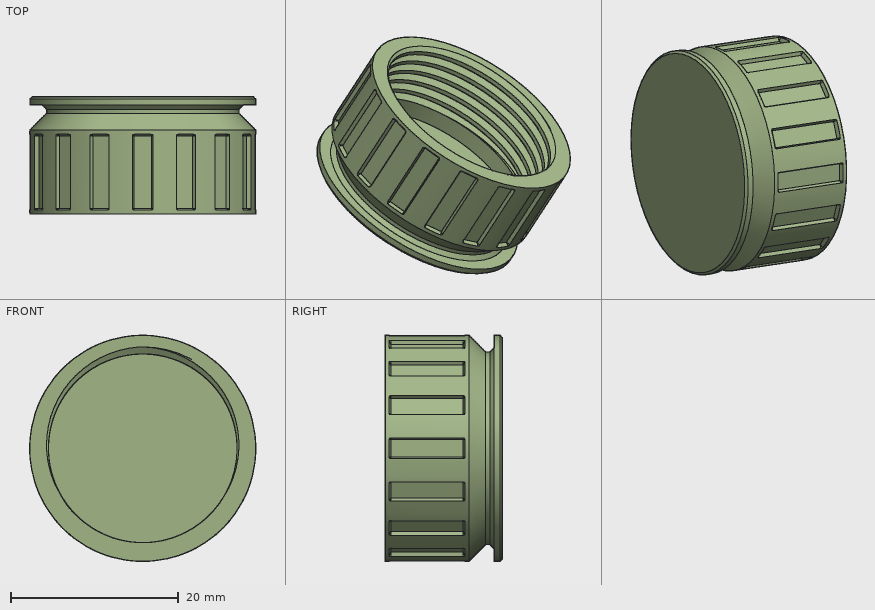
import cadquery as cq
import math


outer_radius = 13.5
total_length = 14.0
grip_length = 10.02
neck_radius = 11.5
flange_thickness = 1.0
flange_chamfer = 0.3
flange_cone_size = 0.5

bore_radius = 11.25
bore_depth = 10.02
thread_root_diameter = 24.22
thread_root_radius = thread_root_diameter / 2
thread_length = 8.0
groove_width = 1.0
crest_width = groove_width / 2
thread_pitch = groove_width + crest_width
groove_overlap = 0.14
lead_in_turns = 2
run_out_turns = 1

pocket_count = 16
pocket_depth = 0.5
pocket_floor_width = 2.08
pocket_floor_length = 8.65
pocket_draft_angle = 22.0


def make_body():
    """Turned outside: grip, 45 degree shoulder, neck and chamfered flange."""
    shoulder_height = outer_radius - neck_radius
    flange_start = total_length - flange_thickness
    return (
        cq.Workplane("XZ")
        .moveTo(0, 0)
        .lineTo(outer_radius, 0)
        .lineTo(outer_radius, grip_length)
        .lineTo(neck_radius, grip_length + shoulder_height)
        .lineTo(neck_radius, flange_start - flange_cone_size)
        .lineTo(neck_radius + flange_cone_size, flange_start)
        .lineTo(outer_radius, flange_start)
        .lineTo(outer_radius, total_length - flange_chamfer)
        .lineTo(outer_radius - flange_chamfer, total_length)
        .lineTo(0, total_length)
        .close()
        .revolve(360, (0, 0), (0, 1))
    )


def make_bore():
    return cq.Workplane("XY").circle(bore_radius).extrude(bore_depth)


def make_thread_groove():
    """Right-hand V groove, cut off flat at the mouth and at the end of the thread."""
    groove_depth = thread_root_radius - bore_radius
    flank_slope = groove_width / 2 / groove_depth
    cutter_inner_radius = bore_radius - groove_overlap
    cutter_half_width = flank_slope * (groove_depth + groove_overlap)

    path_start = thread_pitch / 4 - lead_in_turns * thread_pitch
    turns = lead_in_turns + math.ceil(thread_length / thread_pitch) + run_out_turns
    path = cq.Wire.makeHelix(thread_pitch, turns * thread_pitch, bore_radius, cq.Vector(0, 0, path_start))

    groove = (
        cq.Workplane("XZ")
        .moveTo(thread_root_radius, path_start)
        .lineTo(cutter_inner_radius, path_start + cutter_half_width)
        .lineTo(cutter_inner_radius, path_start - cutter_half_width)
        .close()
        .sweep(cq.Workplane(path), isFrenet=True)
    )
    threaded_zone = cq.Workplane("XY").circle(outer_radius).extrude(thread_length)
    return groove.intersect(threaded_zone)


def make_pocket(angle):
    """Drafted rectangular pocket, widening from its flat floor out to the grip surface."""
    floor_plane = cq.Plane(
        origin=(outer_radius - pocket_depth, 0, grip_length / 2),
        xDir=(0, 1, 0),
        normal=(1, 0, 0),
    )
    pocket = (
        cq.Workplane(floor_plane)
        .rect(pocket_floor_width, pocket_floor_length)
        .extrude(pocket_depth, taper=-pocket_draft_angle)
    )
    return pocket.rotate((0, 0, 0), (0, 0, 1), angle)


cap = make_body().cut(make_bore()).cut(make_thread_groove())
for index in range(pocket_count):
    cap = cap.cut(make_pocket(index * 360 / pocket_count))

result = cap.rotate((0, 0, 0), (1, 0, 0), -90)